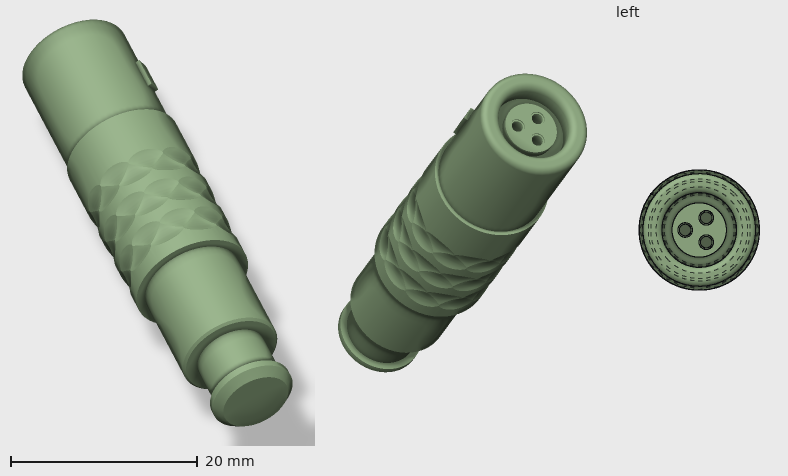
import cadquery as cq
import math

length = 52.0

shell_radius = 6.05
shell_rim_fillet = 0.7

sleeve_start = 14.3
sleeve_end = 34.0
sleeve_radius = 6.45

nut_end = 45.0
nut_radius = 5.45
nut_chamfer = 0.25

neck_radius = 3.9
flange_start = 50.35
flange_radius = 4.65
flange_chamfer = 0.9

bore_radius = 4.0
bore_depth = 2.5
bore_rim_fillet = 0.8

insulator_radius = 2.9
insulator_height = 1.05
insulator_face = bore_depth - insulator_height

contact_count = 3
contact_circle_radius = 1.5
contact_hole_radius = 0.6
contact_hole_depth = 2.1
contact_recess_radius = 0.8
contact_recess_depth = 0.15

key_start = 6.15
key_length = 3.55
key_width = 1.55
key_top = 6.45
key_angle = 30.0

band_count = 3
band_pitch = 4.45
first_row_x = 21.2
row_spacing = 0.9
scallops_per_row = 10
scallop_depth = 0.38
scallop_cutter_radius = 2.45
scallop_cutter_length = 6.25


def disc(start, end, radius):
    """Cylinder on the X axis between two X positions."""
    return cq.Workplane("YZ", origin=(start, 0, 0)).circle(radius).extrude(end - start)


def turned_body():
    shell = disc(0, sleeve_start, shell_radius).faces("<X").edges().fillet(shell_rim_fillet)
    sleeve = disc(sleeve_start, sleeve_end, sleeve_radius)
    nut = disc(sleeve_end, nut_end, nut_radius).faces(">X").edges().chamfer(nut_chamfer)
    neck = disc(nut_end, flange_start, neck_radius)
    flange = disc(flange_start, length, flange_radius).faces(">X").edges().chamfer(flange_chamfer)
    return shell.union(sleeve).union(nut).union(neck).union(flange)


def socket_bore():
    """Round bore whose mouth flares to roll the rim edge over."""
    mouth_radius = bore_radius + bore_rim_fillet
    arc_offset = bore_rim_fillet * (1 - math.sqrt(0.5))
    return (
        cq.Workplane("XY")
        .lineTo(0, mouth_radius)
        .threePointArc((arc_offset, bore_radius + arc_offset), (bore_rim_fillet, bore_radius))
        .lineTo(bore_depth, bore_radius)
        .lineTo(bore_depth, 0)
        .close()
        .revolve(360, (0, 0, 0), (1, 0, 0))
    )


def contact_pattern(radius, depth):
    """Equally spaced round cuts going into the insulator face."""
    return (
        cq.Workplane("YZ", origin=(insulator_face, 0, 0))
        .polarArray(contact_circle_radius, 0, 360, contact_count)
        .circle(radius)
        .extrude(depth)
    )


def latch_key():
    """Flat-topped bar along X, rooted on the axis and turned from +Y towards +Z."""
    bar = cq.Workplane("XY").box(key_length, key_top, key_width, centered=(False, False, True))
    return bar.translate((key_start, 0, 0)).rotate((0, 0, 0), (1, 0, 0), key_angle)


def scallop_row(row_x, start_angle):
    """Cylinders lying across the sleeve, each of which scoops one hollow."""
    axis_height = sleeve_radius - scallop_depth + scallop_cutter_radius
    cutter = (
        cq.Workplane("XY", origin=(row_x, axis_height, 0))
        .circle(scallop_cutter_radius)
        .extrude(scallop_cutter_length / 2, both=True)
    )
    step = 360 / scallops_per_row
    return [cutter.rotate((0, 0, 0), (1, 0, 0), start_angle + i * step) for i in range(scallops_per_row)]


def scallop_cutters():
    half_step = 180 / scallops_per_row
    cutters = []
    for band in range(band_count):
        row_x = first_row_x + band * band_pitch
        cutters += scallop_row(row_x, half_step)
        cutters += scallop_row(row_x + row_spacing, 0)
    return cutters


result = turned_body().cut(socket_bore())
result = result.union(disc(insulator_face, bore_depth, insulator_radius))
result = result.cut(contact_pattern(contact_recess_radius, contact_recess_depth))
result = result.cut(contact_pattern(contact_hole_radius, contact_hole_depth))
result = result.union(latch_key())
for scallop in scallop_cutters():
    result = result.cut(scallop)